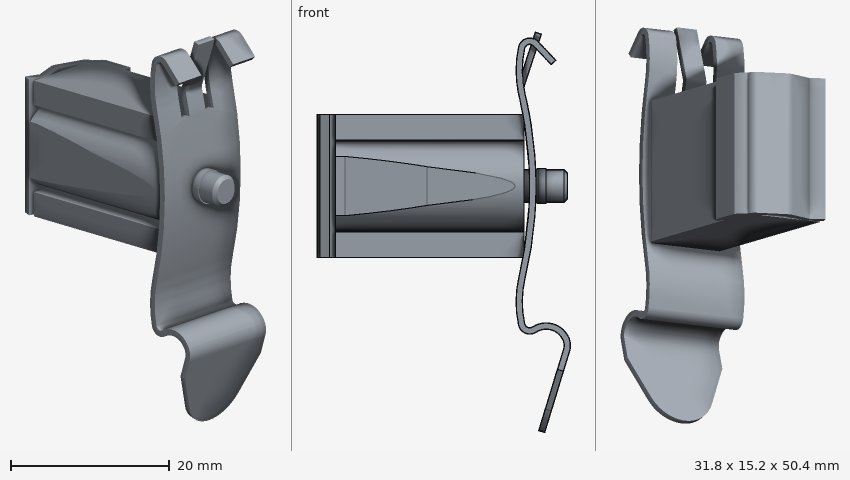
import cadquery as cq
import math


body_length = 23.75
body_half_height = 9.0
body_front = -3.95
body_back = 6.95
body_corner_radius = 1.55

barrel_radius = 5.65
barrel_top = -6.05
barrel_axis_y = barrel_top + barrel_radius
groove_half_height = 5.8
land_length = 1.15
land_level = -4.65
ramp_break_x = -12.25
ramp_break_level = -5.5
ramp_end_x = -1.15

hook_back = 8.15
hook_front_x = -18.35
hook_round_start_x = -22.65
hook_round_middle = (-23.3, 7.6)
hook_root = 1.0

lip_root = 0.3
lip_root_inner_y = 6.25
lip_ridge_y = 2.05
lip_knee_y = -1.6
lip_shoulder = (-24.65, 6.75)
lip_ridge = (-26.15, lip_ridge_y)
lip_ridge_inner = (-24.8, lip_ridge_y)
lip_knee_outer = (-24.9, lip_knee_y)
lip_knee = (-23.65, lip_knee_y)
lip_tip_outer = (-25.7, -3.5)
lip_tip_inner = (-24.5, -4.05)
shoulder_radius = 1.0
ridge_radius = 1.6
knee_radius = 1.7

spring_width = 14.1
spring_thickness = 0.8
crest_x = 1.1
crest_radius = 48.85
crest_half_height = 11.45
crest_angle = math.degrees(math.asin(crest_half_height / crest_radius))
waist_radius = 13.35
waist_angle = 25.8
waist_end_lean = waist_angle - crest_angle
curl_radius = 1.05
finger_slope = 46.7
finger_curl_angle = 90 - waist_end_lean + finger_slope
finger_length = 3.2
arch_radius = 2.7
arch_rise_slope = 33.0
arch_fall_slope = 66.0
arch_angle = arch_rise_slope + arch_fall_slope
foot_curl_angle = 90 - waist_end_lean + arch_rise_slope
heel_radius = 2.0
tab_lean = 17.0
heel_angle = 90 + tab_lean - arch_fall_slope
tab_length = 10.75

tab_tip_radius = 5.05
tab_taper_angle = 25.7

tongue_width = 2.95
slot_width = 1.45
slot_bottom = 9.25
tongue_root_length = 0.6
tongue_bend_radius = 1.2
tongue_lean = 18.2
tongue_bend_angle = crest_angle + tongue_lean
tongue_length = 6.9

pin_radius = 2.05
pin_end = 5.5
pin_chamfer = 0.45
collar_radius = 2.2
collar_start = 1.45
collar_end = 2.75
collar_bevel_length = 0.35
collar_bevel_depth = 0.1


def prism(points):
    """Extrude an XY outline over the full height of the body."""
    return cq.Workplane("XY").polyline(points).close().extrude(body_half_height, both=True)


def bent_sheet(heading, steps, width):
    """Spring sheet that follows a path in XZ from the crest and is centred on Y = 0.

    `heading` is the starting direction, in degrees from +X towards +Z. Each step is
    (length, 0) for a straight or (radius, angle) for a bend, where positive turns left.
    Returns the solid with the end point and the end heading of the path.
    """
    x, z = crest_x, 0

    def side_point(side):
        offset = side * spring_thickness / 2
        angle = math.radians(heading)
        return (x - offset * math.sin(angle), z + offset * math.cos(angle))

    def advance(size, angle):
        nonlocal x, z, heading
        half_turn = math.radians(angle) / 2
        chord = 2 * size * math.sin(abs(half_turn)) if angle else size
        direction = math.radians(heading) + half_turn
        x += chord * math.cos(direction)
        z += chord * math.sin(direction)
        heading += angle

    outline = cq.Workplane("XZ").moveTo(*side_point(1))
    right_side = []
    for size, angle in steps:
        right_step_start = side_point(-1)
        if angle:
            advance(size, angle / 2)
            left_middle, right_middle = side_point(1), side_point(-1)
            advance(size, angle / 2)
            outline = outline.threePointArc(left_middle, side_point(1))
            right_side.append((right_middle, right_step_start))
        else:
            advance(size, 0)
            outline = outline.lineTo(*side_point(1))
            right_side.append((None, right_step_start))

    outline = outline.lineTo(*side_point(-1))
    for middle, end in reversed(right_side):
        outline = outline.threePointArc(middle, end) if middle else outline.lineTo(*end)
    return outline.close().extrude(width / 2, both=True), (x, z), heading


def make_barrel():
    barrel = cq.Workplane("YZ").center(barrel_axis_y, 0).circle(barrel_radius).extrude(-body_length)
    barrel_back = barrel_axis_y + barrel_radius
    below_ramps = prism(
        [
            (-body_length, land_level),
            (-body_length + land_length, land_level),
            (ramp_break_x, ramp_break_level),
            (ramp_end_x, barrel_top),
            (0, barrel_top),
            (0, barrel_back),
            (-body_length, barrel_back),
        ]
    )
    return barrel.intersect(below_ramps)


def make_body():
    block = prism(
        [
            (-body_length, body_front),
            (0, body_front),
            (0, body_back),
            (-body_length, body_back),
        ]
    )
    block = block.edges("|Z and >X and >Y").fillet(body_corner_radius)
    groove_depth = barrel_axis_y - body_front
    groove = cq.Workplane("XY", origin=(-body_length, body_front, 0)).box(
        body_length, groove_depth, 2 * groove_half_height, centered=(False, False, True)
    )
    return block.cut(groove).union(make_barrel())


def make_hook():
    root_y = body_back - hook_root
    return (
        cq.Workplane("XY")
        .moveTo(-body_length, root_y)
        .lineTo(hook_front_x, root_y)
        .lineTo(hook_front_x, hook_back)
        .lineTo(hook_round_start_x, hook_back)
        .threePointArc(hook_round_middle, (-body_length, body_back))
        .close()
        .extrude(body_half_height, both=True)
    )


def make_lip():
    root_x = -body_length + lip_root
    lip = prism(
        [
            (root_x, body_back),
            lip_shoulder,
            lip_ridge,
            lip_knee_outer,
            lip_tip_outer,
            lip_tip_inner,
            lip_knee,
            lip_ridge_inner,
            (root_x, lip_root_inner_y),
        ]
    )
    rounded_corners = [
        (lip_shoulder, shoulder_radius),
        (lip_ridge, ridge_radius),
        (lip_knee, knee_radius),
    ]
    for corner, radius in rounded_corners:
        lip = lip.edges(cq.selectors.NearestToPointSelector((*corner, 0))).fillet(radius)
    return lip


def make_tab_outline(tip, heading):
    """Prism square to the tab: full spring width, then tapered to a round end at `tip`."""
    angle = math.radians(heading)
    along_tab = cq.Vector(math.cos(angle), 0, math.sin(angle))
    across_tab = cq.Vector(0, 1, 0)
    tip_x, tip_z = tip
    plane = cq.Plane(origin=(tip_x, 0, tip_z), xDir=across_tab, normal=across_tab.cross(along_tab))

    taper = math.radians(tab_taper_angle)
    half_width = spring_width / 2
    round_half_width = tab_tip_radius * math.cos(taper)
    round_y = -tab_tip_radius * (1 - math.sin(taper))
    taper_y = round_y - (half_width - round_half_width) / math.tan(taper)
    beyond_crest = -2 * crest_half_height - tab_length
    return (
        cq.Workplane(plane)
        .moveTo(-half_width, beyond_crest)
        .lineTo(-half_width, taper_y)
        .lineTo(-round_half_width, round_y)
        .threePointArc((0, 0), (round_half_width, round_y))
        .lineTo(half_width, taper_y)
        .lineTo(half_width, beyond_crest)
        .close()
        .extrude(spring_width, both=True)
    )


def make_fingers():
    steps = [
        (crest_radius, crest_angle),
        (waist_radius, -waist_angle),
        (curl_radius, -finger_curl_angle),
        (finger_length, 0),
    ]
    sheet, _, _ = bent_sheet(90, steps, spring_width)
    gap_width = tongue_width + 2 * slot_width
    gap_size = spring_width
    gap = cq.Workplane("XY", origin=(0, 0, slot_bottom)).box(
        gap_size, gap_width, gap_size, centered=(True, True, False)
    )
    return sheet.cut(gap)


def make_tongue():
    steps = [
        (crest_radius, crest_angle),
        (tongue_root_length, 0),
        (tongue_bend_radius, -tongue_bend_angle),
        (tongue_length, 0),
    ]
    tongue, _, _ = bent_sheet(90, steps, tongue_width)
    return tongue


def make_foot():
    steps = [
        (crest_radius, -crest_angle),
        (waist_radius, waist_angle),
        (curl_radius, foot_curl_angle),
        (arch_radius, -arch_angle),
        (heel_radius, -heel_angle),
        (tab_length, 0),
    ]
    sheet, tip, tab_heading = bent_sheet(-90, steps, spring_width)
    return sheet.intersect(make_tab_outline(tip, tab_heading))


def make_pin():
    pin = cq.Workplane("YZ").circle(pin_radius).extrude(pin_end).faces(">X").chamfer(pin_chamfer)
    collar = (
        cq.Workplane("YZ", origin=(collar_start, 0, 0))
        .circle(collar_radius)
        .extrude(collar_end - collar_start)
        .faces("<X")
        .chamfer(collar_bevel_length, collar_bevel_depth)
    )
    return pin.union(collar)


spring = make_fingers().union(make_tongue()).union(make_foot())
holder = make_body().union(make_hook()).union(make_lip())
result = spring.union(make_pin()).union(holder)